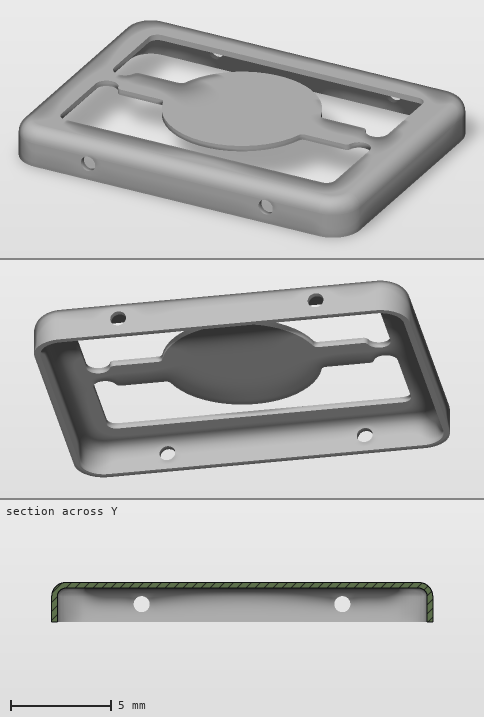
import cadquery as cq
import math

length = 19.0
width = 13.9
height = 2.0
corner_radius = 1.5
edge_radius = 0.7
wall = 0.3

window_length = 15.4
window_width = 10.3
window_corner_radius = 0.5
disc_diameter = 8.0
bridge_width = 2.0
relief_diameter = 1.2
bridge_corner_radius = 0.25
disc_joint_radius = 0.25

hole_diameter = 0.8
hole_spacing = 10.0
hole_height = 0.9


def rounded_block(size_x, size_y, size_z, side_radius, top_radius):
    """Block standing on Z = 0 with rounded vertical corners and a rounded top rim."""
    block = cq.Workplane("XY").box(size_x, size_y, size_z, centered=(True, True, False))
    return block.edges("|Z").fillet(side_radius).faces(">Z").edges().fillet(top_radius)


def make_shell():
    """Thin cover of even thickness, open at the bottom."""
    outside = rounded_block(length, width, height, corner_radius, edge_radius)
    cavity = rounded_block(
        length - 2 * wall,
        width - 2 * wall,
        height - wall,
        corner_radius - wall,
        edge_radius - wall,
    )
    return outside.cut(cavity)


def make_window_cutter():
    """Upper and lower openings left between the frame and the bridge."""
    half_length = window_length / 2
    half_width = window_width / 2
    half_bridge = bridge_width / 2
    disc_radius = disc_diameter / 2
    relief_radius = relief_diameter / 2
    relief_x = half_length - relief_radius
    relief_inner_x = relief_x - relief_radius
    disc_joint_x = math.sqrt(disc_radius**2 - half_bridge**2)

    opening = (
        cq.Workplane("XY")
        .moveTo(-half_length, half_width)
        .lineTo(-half_length, half_bridge)
        .threePointArc((-relief_x, half_bridge - relief_radius), (-relief_inner_x, half_bridge))
        .lineTo(-disc_joint_x, half_bridge)
        .threePointArc((0, disc_radius), (disc_joint_x, half_bridge))
        .lineTo(relief_inner_x, half_bridge)
        .threePointArc((relief_x, half_bridge - relief_radius), (half_length, half_bridge))
        .lineTo(half_length, half_width)
        .close()
        .extrude(height)
    )
    opening = opening.edges("|Z").edges(">Y").fillet(window_corner_radius)
    bridge_edge_fillets = (
        (relief_inner_x, bridge_corner_radius),
        (disc_joint_x, disc_joint_radius),
    )
    for joint_x, radius in bridge_edge_fillets:
        for x in (-joint_x, joint_x):
            joint = cq.selectors.NearestToPointSelector((x, half_bridge, height / 2))
            opening = opening.edges("|Z").edges(joint).fillet(radius)
    return opening.union(opening.mirror("XZ"))


def make_hole_cutter():
    """Pair of pins along Y that pass through both long walls."""
    return (
        cq.Workplane("XZ")
        .pushPoints([(-hole_spacing / 2, hole_height), (hole_spacing / 2, hole_height)])
        .circle(hole_diameter / 2)
        .extrude(width / 2, both=True)
    )


result = make_shell().cut(make_window_cutter()).cut(make_hole_cutter())